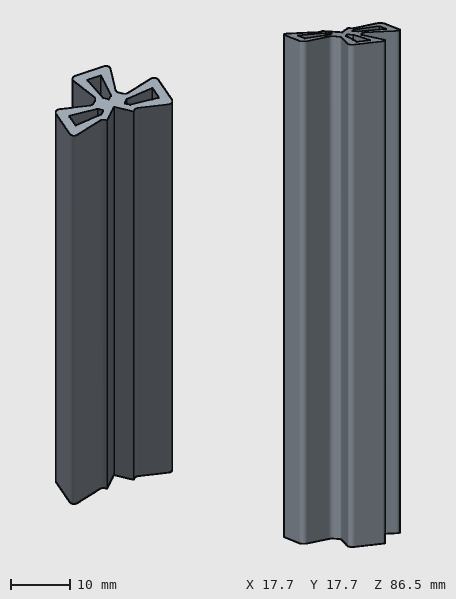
import cadquery as cq
import math

length = 86.5
groove_floor_span = 7.0
root_distance = groove_floor_span / 2
floor_half_width = 0.9
floor_radius = 0.8
flank_angle = math.radians(61.2)

overall_width = 17.7
half_width = overall_width / 2
tip_radius = 0.81
end_face_near = 4.85
end_face_far = 8.65
flank_end = 3.55

pocket_inner = 1.4
pocket_shoulder = 2.4
pocket_tip_near = 4.6
pocket_tip_far = 6.4

ARM_QUADRANTS = [(1, 1), (-1, 1), (-1, -1)]


def swapped(point):
    """Mirror a point about the diagonal of the arm."""
    return point[1], point[0]


def arm(sign_x, sign_y):
    """Solid arm filling one quadrant, symmetric about its diagonal."""

    def place(point):
        return sign_x * point[0], sign_y * point[1]

    floor_corner = (floor_half_width, root_distance)
    flank_rise = (flank_end - floor_half_width) * math.tan(flank_angle)
    flank_top = (flank_end, root_distance + flank_rise)
    crest_drop = half_width - end_face_far
    crest_run = math.sqrt(crest_drop * (2 * tip_radius - crest_drop))
    crest = (end_face_near - crest_run, half_width)
    face_end = (end_face_near, end_face_far)

    body = (
        cq.Workplane("XY")
        .lineTo(*place((root_distance, 0)))
        .lineTo(*place(swapped(floor_corner)))
        .lineTo(*place(swapped(flank_top)))
        .threePointArc(place(swapped(crest)), place(swapped(face_end)))
        .lineTo(*place(face_end))
        .threePointArc(place(crest), place(flank_top))
        .lineTo(*place(floor_corner))
        .lineTo(*place((0, root_distance)))
        .close()
        .extrude(length)
    )
    for corner in (floor_corner, swapped(floor_corner)):
        nearest = cq.selectors.NearestToPointSelector((*place(corner), length / 2))
        body = body.edges("|Z").edges(nearest).fillet(floor_radius)
    return body


def pocket(sign_x, sign_y):
    """Through pocket along the middle of one arm."""
    outline = [
        (pocket_inner, pocket_inner),
        (pocket_shoulder, pocket_inner),
        (pocket_tip_far, pocket_tip_near),
        (pocket_tip_near, pocket_tip_far),
        (pocket_inner, pocket_shoulder),
    ]
    placed = [(sign_x * x, sign_y * y) for x, y in outline]
    return cq.Workplane("XY").polyline(placed).close().extrude(length)


result = arm(*ARM_QUADRANTS[0])
for quadrant in ARM_QUADRANTS[1:]:
    result = result.union(arm(*quadrant))
result = result.clean()
for quadrant in ARM_QUADRANTS:
    result = result.cut(pocket(*quadrant))